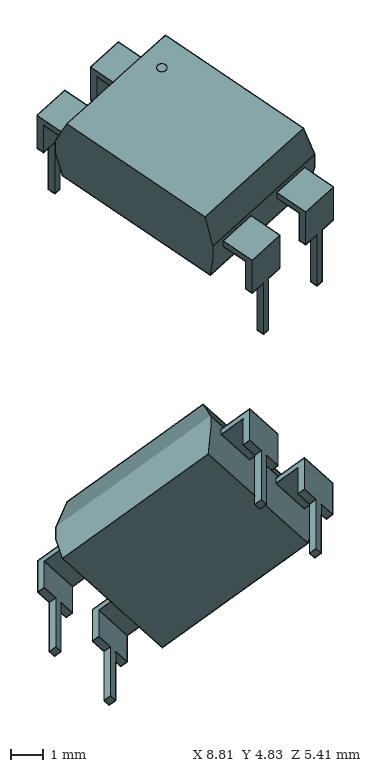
import cadquery as cq

BAND_LENGTH = 6.44
BAND_WIDTH = 4.83
TOP_LENGTH = 5.66
TOP_WIDTH = 4.66
BOTTOM_LENGTH = 6.05
BOTTOM_WIDTH = 4.63
BOTTOM_Z = 2.67
BAND_BOTTOM_Z = 3.72
BAND_TOP_Z = 4.36
TOP_Z = 5.41

LEAD_SPAN = 8.81
LEAD_PITCH = 2.54
LEAD_THICKNESS = 0.27
LEAD_TOP_Z = 4.17
SHOULDER_WIDTH = 1.32
SHOULDER_BOTTOM_Z = 2.54
PIN_WIDTH = 0.25

MARKER_DIAMETER = 0.33
MARKER_DEPTH = 0.09
MARKER_X = -2.06
MARKER_Y = 1.28


def make_frustum(bottom_size, bottom_z, top_size, top_z):
    """Flat-sided block between two centred rectangles."""
    return (
        cq.Workplane("XY", origin=(0, 0, bottom_z))
        .rect(*bottom_size)
        .workplane(offset=top_z - bottom_z)
        .rect(*top_size)
        .loft(ruled=True, combine=True)
    )


def make_marker():
    return (
        cq.Workplane("XY", origin=(MARKER_X, MARKER_Y, TOP_Z - MARKER_DEPTH))
        .circle(MARKER_DIAMETER / 2)
        .extrude(MARKER_DEPTH)
    )


def make_housing():
    band_size = (BAND_LENGTH, BAND_WIDTH)
    lower_cap = make_frustum((BOTTOM_LENGTH, BOTTOM_WIDTH), BOTTOM_Z, band_size, BAND_BOTTOM_Z)
    band = make_frustum(band_size, BAND_BOTTOM_Z, band_size, BAND_TOP_Z)
    upper_cap = make_frustum(band_size, BAND_TOP_Z, (TOP_LENGTH, TOP_WIDTH), TOP_Z)
    return lower_cap.union(band).union(upper_cap).cut(make_marker())


def make_lead(side, y):
    """Lead at the given Y; side is -1 for the -X end and +1 for the +X end."""
    outer_x = side * LEAD_SPAN / 2
    inner_x = outer_x - side * LEAD_THICKNESS
    housing_x = side * BAND_LENGTH / 2
    shoulder = (
        cq.Workplane("XZ", origin=(0, y, 0))
        .moveTo(housing_x, LEAD_TOP_Z)
        .lineTo(outer_x, LEAD_TOP_Z)
        .lineTo(outer_x, SHOULDER_BOTTOM_Z)
        .lineTo(inner_x, SHOULDER_BOTTOM_Z)
        .lineTo(inner_x, LEAD_TOP_Z - LEAD_THICKNESS)
        .lineTo(housing_x, LEAD_TOP_Z - LEAD_THICKNESS)
        .close()
        .extrude(SHOULDER_WIDTH / 2, both=True)
    )
    pin = (
        cq.Workplane("XY", origin=((outer_x + inner_x) / 2, y, 0))
        .rect(LEAD_THICKNESS, PIN_WIDTH)
        .extrude(SHOULDER_BOTTOM_Z)
    )
    return shoulder.union(pin)


housing = make_housing()
marker = make_marker()
leads = [
    make_lead(side, row * LEAD_PITCH / 2).val()
    for side in (-1, 1)
    for row in (-1, 1)
]

result = cq.Compound.makeCompound([housing.val(), marker.val(), *leads])